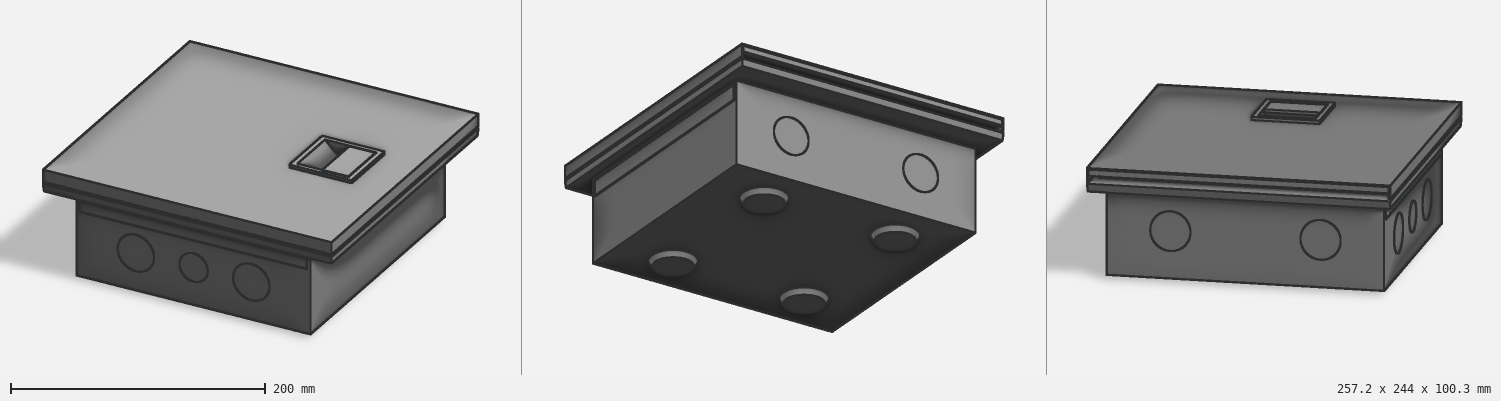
import cadquery as cq
import math

width = 257.2
depth = 244.0
total_height = 100.3
lid_top = 97.7
lid_skirt_bottom = 87.0
flange_top = 85.0
flange_bottom = 78.5
box_bottom = 5.0

box_width = 208.3
box_depth = 223.2

flange_plate = 1.0
flange_taper = 0.5

panel_thickness = 6.5
lid_border = 1.3
lid_end_recess = 0.3

inner_left = -109.0
inner_right = 123.5
inner_block_depth = 233.5

strip_width = 202.5
strip_top = 76.5
strip_bottom = 62.5
strip_thickness = 0.8

knockout_radius = 16.2
small_knockout_radius = 12.5
knockout_recess = 0.3
front_knockout_x = 51.5
front_knockout_z = 38.0
side_knockout_y = 60.5
side_knockout_z = 43.5

foot_x = 66.0
foot_y = 61.2
foot_top_radius = 19.5
foot_bottom_radius = 16.2

latch_x = 68.0
bezel_width = 55.5
bezel_depth = 54.8
opening = 45.8
slope_end_x = 58.0
pocket_wall_x = 71.5
pocket_slope = math.radians(45)
flap_edge_x = 66.5
flap_thickness = 2.5
flap_drop = 0.5
flap_gap = 0.8


def block(x_min, x_max, size_y, z_min, z_max):
    """Box between two X places and two Z levels, centred on Y."""
    return (
        cq.Workplane("XY")
        .box(x_max - x_min, size_y, z_max - z_min, centered=(False, True, False))
        .translate((x_min, 0, z_min))
    )


def centred_block(size_x, size_y, z_min, z_max):
    return block(-size_x / 2, size_x / 2, size_y, z_min, z_max)


def make_box():
    body = centred_block(box_width, box_depth, box_bottom, flange_bottom)
    strips = centred_block(strip_width, box_depth + 2 * strip_thickness, strip_bottom, strip_top)
    return body.union(strips)


def make_flange():
    plate_bottom = flange_top - flange_plate
    plate = centred_block(width, depth, plate_bottom, flange_top)
    band = (
        cq.Workplane("XY", origin=(0, 0, plate_bottom))
        .rect(width, depth)
        .workplane(offset=flange_bottom - plate_bottom)
        .rect(width - 2 * flange_taper, depth - 2 * flange_taper)
        .loft(ruled=True)
    )
    return plate.union(band)


def make_lid():
    left = -width / 2
    right = width / 2
    inner_depth = depth - 2 * lid_border
    panel_bottom = lid_top - panel_thickness
    lid = centred_block(width, depth, lid_skirt_bottom, lid_top)
    underside = block(left, right - lid_border, inner_depth, lid_skirt_bottom, panel_bottom)
    end_recess = block(left, left + lid_end_recess, inner_depth, panel_bottom, lid_top - lid_border)
    inner_block = block(inner_left, inner_right, inner_block_depth, flange_top, panel_bottom)
    return lid.cut(underside).cut(end_recess).union(inner_block)


def make_foot(x, y):
    return (
        cq.Workplane("XY", origin=(x, y, 0))
        .circle(foot_bottom_radius)
        .workplane(offset=box_bottom)
        .circle(foot_top_radius)
        .loft()
    )


def front_knockout(x, radius):
    plane = cq.Workplane("XZ", origin=(x, -box_depth / 2, front_knockout_z))
    return plane.circle(radius).extrude(-knockout_recess)


def side_knockout(y):
    plane = cq.Workplane("YZ", origin=(-box_width / 2, y, side_knockout_z))
    return plane.circle(knockout_radius).extrude(knockout_recess)


def make_bezel():
    left = latch_x - bezel_width / 2
    return block(left, left + bezel_width, bezel_depth, lid_top, total_height)


def finger_pocket():
    """Sloped floor running into an arc that levels out at the wall below the flap."""
    left = latch_x - opening / 2
    slope_end_z = total_height - (slope_end_x - left) * math.tan(pocket_slope)
    floor_radius = (pocket_wall_x - slope_end_x) / math.sin(pocket_slope)
    arc_centre_z = slope_end_z + floor_radius * math.cos(pocket_slope)
    half_slope = pocket_slope / 2
    arc_middle = (
        pocket_wall_x - floor_radius * math.sin(half_slope),
        arc_centre_z - floor_radius * math.cos(half_slope),
    )
    flap_bottom = total_height - flap_drop - flap_thickness
    return (
        cq.Workplane("XZ")
        .moveTo(left, total_height)
        .lineTo(slope_end_x, slope_end_z)
        .threePointArc(arc_middle, (pocket_wall_x, arc_centre_z - floor_radius))
        .lineTo(pocket_wall_x, flap_bottom)
        .lineTo(flap_edge_x, flap_bottom)
        .lineTo(flap_edge_x, total_height)
        .close()
        .extrude(opening / 2, both=True)
    )


def flap_clearance():
    """Step down from the bezel to the flap, with a gap along the +X end of the flap."""
    right = latch_x + opening / 2
    flap_top = total_height - flap_drop
    step = block(flap_edge_x, right, opening, flap_top, total_height)
    gap = block(right - flap_gap, right, opening, flap_top - flap_thickness, total_height)
    return step.union(gap)


result = make_box().union(make_flange()).union(make_lid())

for x_side in (-1, 1):
    for y_side in (-1, 1):
        result = result.union(make_foot(x_side * foot_x, y_side * foot_y))

result = result.cut(front_knockout(0, small_knockout_radius))
for side in (-1, 1):
    result = result.cut(front_knockout(side * front_knockout_x, knockout_radius))
    result = result.cut(side_knockout(side * side_knockout_y))

result = result.union(make_bezel())
result = result.cut(finger_pocket()).cut(flap_clearance())